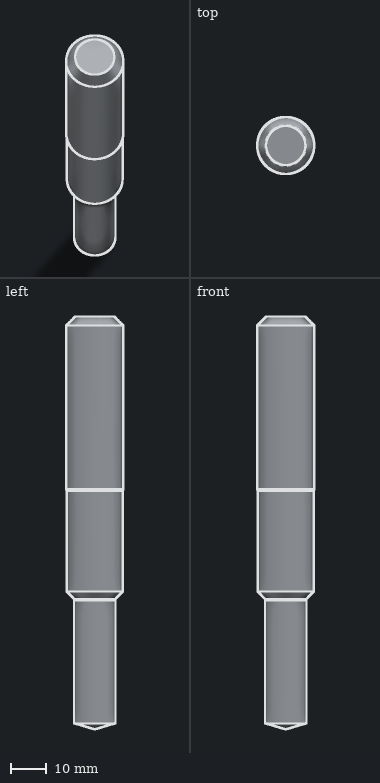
import cadquery as cq

total_length = 115.0

grip_radius = 16.0 / 2
neck_radius = 15.6 / 2
top_chamfer = 2.5
grip_bottom_z = 66.9
step_height = 0.5
neck_bottom_z = 38.4
collar_height = 0.5
taper_bottom_z = 36.3
pin_seat_z = taper_bottom_z - collar_height

pin_radius = 11.6 / 2
tip_height = 1.7


def revolve_profile(points):
    """Spin a closed (radius, height) outline around the Z axis."""
    return cq.Workplane("XZ").polyline(points).close().revolve(360, (0, 0, 0), (0, 1, 0))


def make_holder():
    """Bevelled grip stepping down to the neck, with a tapered lower end and thin collar."""
    return revolve_profile([
        (0, pin_seat_z),
        (pin_radius, pin_seat_z),
        (pin_radius, taper_bottom_z),
        (neck_radius, neck_bottom_z),
        (neck_radius, grip_bottom_z - step_height),
        (grip_radius, grip_bottom_z),
        (grip_radius, total_length - top_chamfer),
        (grip_radius - top_chamfer, total_length),
        (0, total_length),
    ])


def make_pin():
    """Pin that butts against the flat lower end of the holder."""
    return revolve_profile([
        (0, 0),
        (pin_radius, tip_height),
        (pin_radius, pin_seat_z),
        (0, pin_seat_z),
    ])


holder = make_holder()
pin = make_pin()

result = cq.Compound.makeCompound([holder.val(), pin.val()])